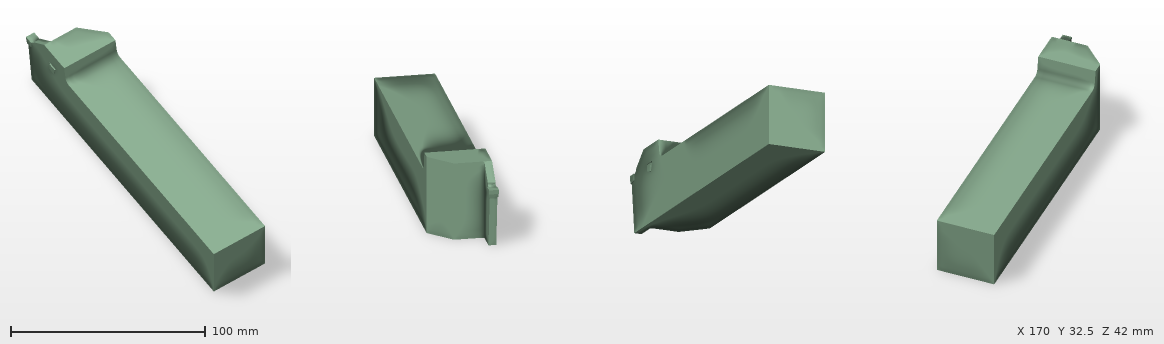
import cadquery as cq


tool_length = 170.0
shank_size = 32.0
head_rise = 10.0
head_top = shank_size + head_rise
nose_bottom_x = 4.5
nose_seat_x = 1.4
block_front_x = 15.8
head_back_top_x = 34.0
head_back_foot_x = 35.7
head_back_radius = 3.4
jaw_tip_x = 6.3
block_chamfer = 12.0

blade_thickness = 4.0
blade_root_radius = 1.0

insert_length = 26.0
seat_z = 26.9
insert_body_top = 32.8
jaw_lip_top = 33.8
tip_overhang = 0.5
tip_top = shank_size
tip_length = 4.8
ramp_end_x = jaw_tip_x
flank_break_x = 0.3
flank_break_z = 29.5
tip_side_z = 28.4
tip_side_foot_x = 2.0
tip_foot_z = 27.5
pocket_roof_z = 32.6
ridge_height = 0.7


def extrude_across(points, y_start, y_end):
    """Extrude an XZ outline between two Y positions."""
    return (
        cq.Workplane("XZ", origin=(0, y_start, 0))
        .polyline(points).close()
        .extrude(y_start - y_end)
    )


def mirror_to_back(shape):
    """Mirror a front feature of the insert to its back end."""
    return shape.mirror("YZ", (insert_length / 2, 0, 0))


def make_tip():
    flank_slope = (nose_seat_x - flank_break_x) / (flank_break_z - seat_z)
    tip_foot_front_x = flank_break_x + flank_slope * (flank_break_z - tip_foot_z)
    outline = [
        (0, tip_top),
        (tip_length, tip_top),
        (tip_length, tip_side_z),
        (tip_side_foot_x, tip_foot_z),
        (tip_foot_front_x, tip_foot_z),
        (flank_break_x, flank_break_z),
    ]
    return extrude_across(outline, -tip_overhang, blade_thickness + tip_overhang)


def make_key_ridge(surface_z, direction):
    """Lengthwise V ridge between the tips, rising from surface_z along direction."""
    return (
        cq.Workplane("YZ", origin=(ramp_end_x, 0, 0))
        .polyline([
            (0, surface_z),
            (blade_thickness, surface_z),
            (blade_thickness / 2, surface_z + direction * ridge_height),
        ]).close()
        .extrude(insert_length - 2 * ramp_end_x)
    )


def make_insert():
    front = [
        (nose_seat_x, seat_z),
        (flank_break_x, flank_break_z),
        (0, tip_top),
        (tip_length, tip_top),
        (ramp_end_x, insert_body_top),
    ]
    back = [(insert_length - x, z) for x, z in reversed(front)]
    body = extrude_across(front + back, 0, blade_thickness)
    tip = make_tip()
    ridged = body.union(make_key_ridge(insert_body_top, 1)).union(make_key_ridge(seat_z, -1))
    return ridged.union(tip).union(mirror_to_back(tip))


def make_holder_profile():
    outline = [
        (nose_bottom_x, 0),
        (tool_length, 0),
        (tool_length, shank_size),
        (head_back_foot_x, shank_size),
        (head_back_top_x, head_top),
        (block_front_x, head_top),
        (jaw_tip_x, jaw_lip_top),
        (jaw_tip_x, insert_body_top),
        (nose_seat_x, seat_z),
    ]
    body = extrude_across(outline, 0, shank_size)
    foot = cq.selectors.NearestToPointSelector((head_back_foot_x, shank_size / 2, shank_size))
    return body.edges(foot).fillet(head_back_radius)


def make_side_relief():
    """Space beside the blade, with a rounded root and the 45 degree block corner."""
    return (
        cq.Workplane("XY")
        .moveTo(-block_front_x, blade_thickness)
        .lineTo(block_front_x - blade_root_radius, blade_thickness)
        .radiusArc((block_front_x, blade_thickness + blade_root_radius), -blade_root_radius)
        .lineTo(block_front_x, shank_size - block_chamfer)
        .lineTo(block_front_x + block_chamfer, shank_size)
        .lineTo(-block_front_x, shank_size)
        .close()
        .extrude(head_top)
    )


def make_pocket_clearance():
    """Gap between the top of the back tip and the pocket roof."""
    outline = [
        (insert_length - ramp_end_x, tip_top),
        (insert_length, tip_top),
        (insert_length, pocket_roof_z),
        (insert_length - ramp_end_x, pocket_roof_z),
    ]
    return extrude_across(outline, -tip_overhang, blade_thickness + tip_overhang)


def make_holder(insert):
    body = make_holder_profile().cut(make_side_relief())
    return body.cut(insert).cut(make_pocket_clearance())


insert = make_insert()
holder = make_holder(insert)

result = cq.Compound.makeCompound([holder.solids().val(), insert.solids().val()])